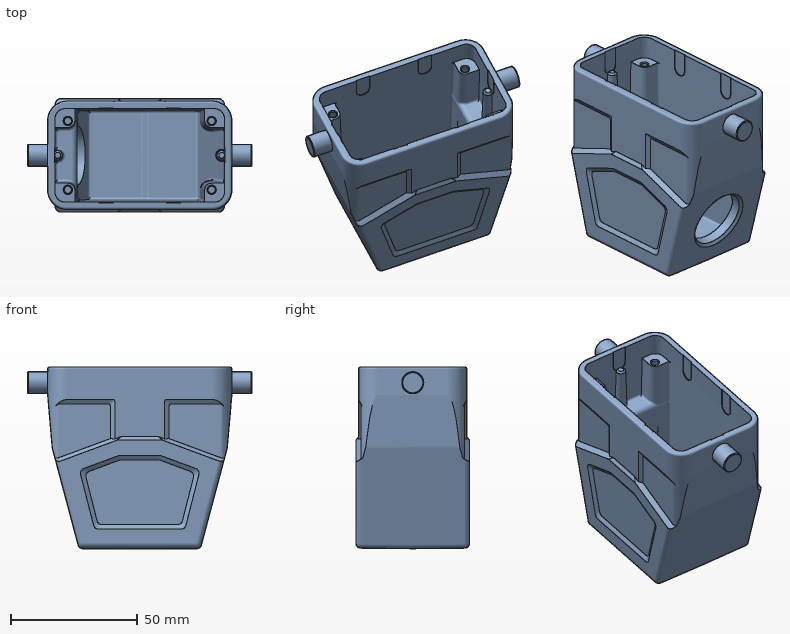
import cadquery as cq
import math

HEIGHT = 72.0
RIM_LENGTH = 73.0
RIM_WIDTH = 42.9
RIM_RADIUS = 7.7
RIM_ROUND = 0.9

LEAN_TOP_Z = 60.9
KNEE_Z = 40.05
KNEE_HALF_LENGTH = 34.7
BOTTOM_HALF_LENGTH = 24.0
KNEE_ROUND = 5.3
FLANK_SLOPE = (KNEE_HALF_LENGTH - BOTTOM_HALF_LENGTH) / KNEE_Z
FLANK_ANGLE = math.atan(FLANK_SLOPE)

BELLY_WIDTH = 45.0
BELLY_ROUND = 2.05
GABLE_Z = 43.0
GABLE_HALF_LENGTH = 9.1
GABLE_SLOPE = 0.37
GABLE_APEX_Z = GABLE_Z + GABLE_SLOPE * GABLE_HALF_LENGTH
RIDGE_BEVEL_ANGLE = 54.0
SLOPE_BEVEL_ANGLE = 36.0
BOTTOM_DRAFT = 0.6
UPPER_BASE_Z = 33.8

RECESS_DEPTH = 1.0
RECESS_RAMP = 1.8
RECESS_TOP_Z = 59.1
RECESS_INNER_X = 9.9
RECESS_ROUND = 1.8
RECESS_RIM_ROUND = 2.2

PANEL_DEPTH = 1.1
PANEL_RAMP = 1.8
PANEL_ROUND = 4.45
PANEL_TOP_Z = 37.0
PANEL_TOP_HALF = 8.0
PANEL_SHOULDER_Z = 31.15
PANEL_SHOULDER_HALF = 23.85
PANEL_BOTTOM_Z = 7.7
PANEL_BOTTOM_HALF = 17.9

PIN_SPAN = 89.0
PIN_DIAMETER = 8.7
PIN_Z = 65.8
PIN_CHAMFER = 0.4

MOUTH_LENGTH = 67.1
MOUTH_WIDTH = 37.0
MOUTH_RADIUS = 4.0
LEDGE_Z = 62.75
CAVITY_DRAFT = 1.0
FLOOR_ROUND = 0.9
LOW_FLOOR_Z = 4.45
HIGH_FLOOR_Z = 7.1
STEP_BOTTOM_X = 1.1
STEP_TOP_X = 3.2
HIGH_FLOOR_END_X = 23.0
INNER_KNEE_Z = 45.6
ENTRY_WALL = 4.9
ENTRY_WALL_X = 24.8
SHELF_Z = 44.5
SHELF_NOSE_ROUND = 2.0
SHELF_CORNER_ROUND = 0.9

POST_INNER_X = 25.7
POST_INNER_Y = 11.0
POST_ROUND = 2.7
POST_DRAFT = 2.0
POST_SEAM_ROUND = 0.9
SCREW_X = 28.5
SCREW_Y = 13.6
SCREW_DIAMETER = 2.85
SCREW_MOUTH_DIAMETER = 3.65
SCREW_DEPTH = 17.8

RIB_X = 32.5
RIB_TOP_RADIUS = 1.9
RIB_CHAMFER = 0.7
RIB_BASE_RADIUS = 2.4

GROOVE_WIDTH = 5.7
GROOVE_DEPTH = 0.3
GROOVE_BOTTOM_Z = 61.8
GROOVE_X = 13.35

ENTRY_DIAMETER = 23.3
ENTRY_MOUTH_DIAMETER = 25.45
ENTRY_CHAMFER = (ENTRY_MOUTH_DIAMETER - ENTRY_DIAMETER) / 2
ENTRY_Z = 19.9
ENTRY_DEPTH = 10.7

MOUTH_TAPER = 45.0

PICK_MARGIN = 0.9
SEAM_MARGIN = 1.3
SEAM_FLOOR_Z = HIGH_FLOOR_Z + 3.6


def xz_prism(points, width):
    """Prism of an X-Z outline, centred on the X-Z plane."""
    return cq.Workplane("XZ").polyline(points).close().extrude(width / 2, both=True)


def flank_half_length(z):
    return BOTTOM_HALF_LENGTH + FLANK_SLOPE * z


def mirrored_outline(right_side):
    """Closed outline from its right half, listed from one end to the other."""
    return right_side + [(-x, z) for x, z in reversed(right_side)]


def edges_near(x, reach_x, reach_y, z):
    """Selector for edges centred close to height z, within reach_x of x."""
    return cq.selectors.BoxSelector(
        (x - reach_x, -reach_y, z - PICK_MARGIN), (x + reach_x, reach_y, z + PICK_MARGIN)
    )


def on_both_faces(solid):
    return solid.union(solid.mirror("XZ"))


def end_outline():
    """Prism that gives the shell its leaning ends and flanks."""
    half = [
        (BOTTOM_HALF_LENGTH, 0),
        (KNEE_HALF_LENGTH, KNEE_Z),
        (RIM_LENGTH / 2, LEAN_TOP_Z),
        (RIM_LENGTH / 2, HEIGHT),
    ]
    prism = xz_prism(mirrored_outline(half), BELLY_WIDTH)
    return prism.edges(edges_near(0, RIM_LENGTH, BELLY_WIDTH, KNEE_Z)).fillet(KNEE_ROUND)


def upper_shell():
    return (
        cq.Workplane("XY").workplane(offset=UPPER_BASE_Z)
        .rect(RIM_LENGTH, RIM_WIDTH).extrude(HEIGHT - UPPER_BASE_Z)
        .edges("|Z").fillet(RIM_RADIUS)
        .faces(">Z").edges().fillet(RIM_ROUND)
        .intersect(end_outline())
    )


def recess(side):
    """Cutter for one recess of the -Y face, with ramped top and inner walls."""
    taper = math.degrees(math.atan(RECESS_RAMP / RECESS_DEPTH))
    inner_x = side * RECESS_INNER_X
    outer_x = side * RIM_LENGTH
    return (
        cq.Workplane("XZ", origin=(0, -RIM_WIDTH / 2, 0))
        .moveTo(inner_x, 0).lineTo(outer_x, 0)
        .lineTo(outer_x, RECESS_TOP_Z).lineTo(inner_x, RECESS_TOP_Z).close()
        .extrude(-RECESS_DEPTH, taper=taper)
        .edges("not #Y").fillet(RECESS_ROUND)
    )


def round_recess_rims(shell):
    """Round the upright edges where the recess floors run out into the shell corners."""
    floor_y = RIM_WIDTH / 2 - RECESS_DEPTH
    centre_x = RIM_LENGTH / 2 - RIM_RADIUS
    centre_y = RIM_WIDTH / 2 - RIM_RADIUS
    rim_x = centre_x + math.sqrt(RIM_RADIUS**2 - (floor_y - centre_y) ** 2)
    rim_middle_z = (UPPER_BASE_Z + RECESS_TOP_Z - RECESS_RAMP) / 2
    for side_x in (-1, 1):
        for side_y in (-1, 1):
            rim = cq.selectors.NearestToPointSelector((side_x * rim_x, side_y * floor_y, rim_middle_z))
            shell = shell.edges("|Z").edges(rim).fillet(RECESS_RIM_ROUND)
    return shell


def gable_half(outline, bevel_angle):
    """Prism from the -Y belly face to the middle, its edges widening inwards."""
    return (
        cq.Workplane("XZ", origin=(0, -BELLY_WIDTH / 2, 0))
        .polyline(outline).close()
        .extrude(-BELLY_WIDTH / 2, taper=-bevel_angle)
    )


def belly():
    top_z = GABLE_APEX_Z
    top_half = flank_half_length(top_z)
    half_width = BELLY_WIDTH / 2
    edge_z = half_width * math.tan(math.radians(BOTTOM_DRAFT))
    ends = xz_prism(mirrored_outline([(BOTTOM_HALF_LENGTH, 0), (top_half, top_z)]), BELLY_WIDTH)
    cross_section = [
        (0, 0), (half_width, edge_z), (half_width, top_z), (-half_width, top_z), (-half_width, edge_z)
    ]
    block = ends.intersect(
        cq.Workplane("YZ").polyline(cross_section).close().extrude(RIM_LENGTH, both=True)
    )
    keel = edges_near(0, PICK_MARGIN, PICK_MARGIN, 0)
    rounded = block.edges("not >Z").edges(-keel)
    block = rounded.fillet(BELLY_ROUND).intersect(end_outline())

    far_x = RIM_LENGTH
    far_z = GABLE_APEX_Z - GABLE_SLOPE * far_x
    slopes = gable_half(
        [(-far_x, -HEIGHT), (far_x, -HEIGHT), (far_x, far_z), (0, GABLE_APEX_Z), (-far_x, far_z)],
        SLOPE_BEVEL_ANGLE,
    )
    ridge = gable_half(
        [(-far_x, -HEIGHT), (far_x, -HEIGHT), (far_x, GABLE_Z), (-far_x, GABLE_Z)],
        RIDGE_BEVEL_ANGLE,
    )
    return block.intersect(on_both_faces(slopes.intersect(ridge)))


def sunk_panel():
    half = [
        (PANEL_BOTTOM_HALF, PANEL_BOTTOM_Z),
        (PANEL_SHOULDER_HALF, PANEL_SHOULDER_Z),
        (PANEL_TOP_HALF, PANEL_TOP_Z),
    ]
    taper = math.degrees(math.atan(PANEL_RAMP / PANEL_DEPTH))
    return (
        cq.Workplane("XZ", origin=(0, -BELLY_WIDTH / 2, 0))
        .polyline(mirrored_outline(half)).close()
        .extrude(-PANEL_DEPTH, taper=taper)
        .edges("not #Y").fillet(PANEL_ROUND)
    )


def pins():
    return (
        cq.Workplane("YZ").center(0, PIN_Z).circle(PIN_DIAMETER / 2)
        .extrude(PIN_SPAN / 2, both=True)
        .faces("<X or >X").chamfer(PIN_CHAMFER)
    )


def screw_post(side_x, side_y):
    reach = RIM_LENGTH
    return (
        cq.Workplane("XY", origin=(0, 0, LEDGE_Z))
        .center(side_x * (POST_INNER_X + reach / 2), side_y * (POST_INNER_Y + reach / 2))
        .sketch().rect(reach, reach).vertices().fillet(POST_ROUND).finalize()
        .extrude(-LEDGE_Z, taper=-POST_DRAFT)
    )


def guide_rib(side_x):
    foot = cq.Vector(side_x * RIB_X, 0, SHELF_Z)
    cone = cq.Solid.makeCone(RIB_BASE_RADIUS, RIB_TOP_RADIUS, LEDGE_Z - SHELF_Z, foot)
    return cq.Workplane(cone).faces(">Z").chamfer(RIB_CHAMFER)


def cavity_profile():
    """Prism of the cavity's lengthwise section below the ledge."""
    entry_wall_offset = ENTRY_WALL / math.cos(FLANK_ANGLE)
    entry_foot_x = flank_half_length(LOW_FLOOR_Z) - entry_wall_offset
    entry_bend_z = (ENTRY_WALL_X + entry_wall_offset - BOTTOM_HALF_LENGTH) / FLANK_SLOPE
    mouth_half = MOUTH_LENGTH / 2
    profile = xz_prism(
        [
            (-entry_foot_x, LOW_FLOOR_Z),
            (STEP_BOTTOM_X, LOW_FLOOR_Z),
            (STEP_TOP_X, HIGH_FLOOR_Z),
            (HIGH_FLOOR_END_X, HIGH_FLOOR_Z),
            (mouth_half, INNER_KNEE_Z),
            (mouth_half, LEDGE_Z),
            (-mouth_half, LEDGE_Z),
            (-mouth_half, SHELF_Z),
            (-ENTRY_WALL_X, SHELF_Z),
            (-ENTRY_WALL_X, entry_bend_z),
        ],
        MOUTH_WIDTH,
    )
    shelf_nose = edges_near(-ENTRY_WALL_X, PICK_MARGIN, MOUTH_WIDTH, SHELF_Z)
    return profile.edges("|Y").edges(shelf_nose).fillet(SHELF_NOSE_ROUND)


def round_post_seams(space):
    """Round the inside corners where the posts meet the shelf and the walls."""
    shelf_reach = MOUTH_LENGTH / 2 - POST_INNER_X - SEAM_MARGIN
    shelf_edges = edges_near(-MOUTH_LENGTH / 2, shelf_reach, POST_INNER_Y, SHELF_Z)
    space = space.edges(shelf_edges).fillet(SHELF_CORNER_ROUND)

    sloped_end = cq.selectors.BoxSelector(
        (POST_INNER_X, -PICK_MARGIN, HIGH_FLOOR_Z), (MOUTH_LENGTH / 2, PICK_MARGIN, INNER_KNEE_Z)
    )
    for side_y in (-1, 1):
        seams = cq.selectors.BoxSelector(
            (HIGH_FLOOR_END_X, side_y * RIB_BASE_RADIUS, SEAM_FLOOR_Z),
            (MOUTH_LENGTH, side_y * POST_INNER_Y, INNER_KNEE_Z - PICK_MARGIN),
        )
        space = space.faces(sloped_end).edges(seams).fillet(POST_SEAM_ROUND)

    for side_x in (-1, 1):
        for side_y in (-1, 1):
            corner_x = side_x * POST_INNER_X
            corner_y = side_y * MOUTH_WIDTH / 2
            seams = cq.selectors.BoxSelector(
                (corner_x - SEAM_MARGIN, corner_y - SEAM_MARGIN, SEAM_FLOOR_Z),
                (corner_x + SEAM_MARGIN, corner_y + SEAM_MARGIN, LEDGE_Z - PICK_MARGIN),
            )
            space = space.edges("%LINE").edges(seams).fillet(POST_SEAM_ROUND)
    return space


def cavity():
    mouth = cq.Sketch().rect(MOUTH_LENGTH, MOUTH_WIDTH).vertices().fillet(MOUTH_RADIUS).reset()
    ledge = cq.Workplane("XY", origin=(0, 0, LEDGE_Z)).placeSketch(mouth)
    space = cavity_profile().intersect(ledge.extrude(-LEDGE_Z, taper=CAVITY_DRAFT))
    floor_edges = cq.selectors.BoxSelector(
        (-ENTRY_WALL_X, -MOUTH_WIDTH, LOW_FLOOR_Z - PICK_MARGIN),
        (ENTRY_WALL_X, MOUTH_WIDTH, HIGH_FLOOR_Z + PICK_MARGIN),
    )
    space = space.edges(floor_edges).fillet(FLOOR_ROUND)
    for side_x in (-1, 1):
        space = space.cut(guide_rib(side_x))
        for side_y in (-1, 1):
            space = space.cut(screw_post(side_x, side_y))
    space = round_post_seams(space)
    return space.union(ledge.extrude(HEIGHT - LEDGE_Z))


def groove(plane, along, wall):
    """Round-ended groove cutter reaching just past a mouth wall."""
    arc_z = GROOVE_BOTTOM_Z + GROOVE_WIDTH / 2
    half = GROOVE_WIDTH / 2
    return (
        cq.Workplane(plane).moveTo(along - half, HEIGHT).lineTo(along - half, arc_z)
        .threePointArc((along, GROOVE_BOTTOM_Z), (along + half, arc_z))
        .lineTo(along + half, HEIGHT).close()
        .extrude(wall + GROOVE_DEPTH, both=True)
    )


def mouth_grooves():
    cutters = groove("YZ", 0, MOUTH_LENGTH / 2)
    for x in (-GROOVE_X, GROOVE_X):
        cutters = cutters.union(groove("XZ", x, MOUTH_WIDTH / 2))
    ribs = guide_rib(-1).union(guide_rib(1))
    return cutters.cut(ribs)


def screw_holes():
    mouth_depth = (SCREW_MOUTH_DIAMETER - SCREW_DIAMETER) / 2
    drill = cq.Workplane("XY", origin=(0, 0, LEDGE_Z)).rect(2 * SCREW_X, 2 * SCREW_Y, forConstruction=True)
    holes = drill.vertices().circle(SCREW_DIAMETER / 2).extrude(-SCREW_DEPTH)
    mouths = drill.vertices().circle(SCREW_MOUTH_DIAMETER / 2).extrude(-mouth_depth, taper=MOUTH_TAPER)
    return holes.union(mouths)


def cable_entry():
    flank = cq.Plane(
        origin=(-flank_half_length(ENTRY_Z), 0, ENTRY_Z),
        xDir=(0, 1, 0),
        normal=(math.cos(FLANK_ANGLE), 0, math.sin(FLANK_ANGLE)),
    )
    bore = cq.Workplane(flank).circle(ENTRY_DIAMETER / 2).extrude(ENTRY_DEPTH)
    mouth = cq.Workplane(flank).circle(ENTRY_MOUTH_DIAMETER / 2).extrude(ENTRY_CHAMFER, taper=MOUTH_TAPER)
    return bore.union(mouth)


shell = upper_shell()
for side in (-1, 1):
    shell = shell.cut(on_both_faces(recess(side)))
shell = round_recess_rims(shell)
shell = shell.union(belly()).union(pins())
shell = shell.cut(on_both_faces(sunk_panel()))
shell = shell.cut(cavity()).cut(mouth_grooves()).cut(screw_holes())
result = shell.cut(cable_entry())